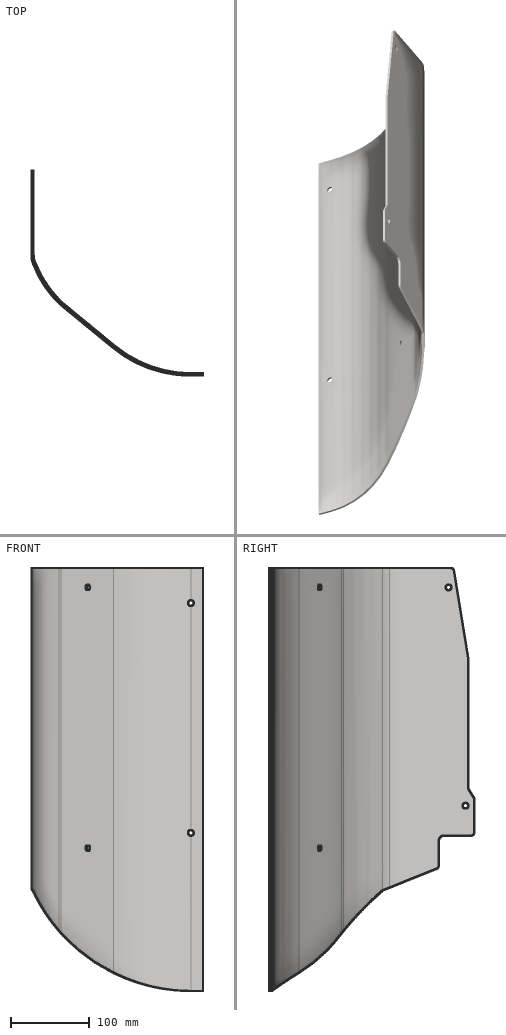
import cadquery as cq
import math

width = 218.0
depth = 260.5
height = 537.0
thickness = 3.0

front_flat = 15.5
front_curve_radius = 155.0
front_curve_angle = 39.4
crease_length = 4.0
crease_angle = 5.0
side_curve_radius = 140.0
side_bend_angle = 20.6
side_bend_radius = 28.5
side_curve_angle = 90 - front_curve_angle - crease_angle - side_bend_angle
bends = (
    (front_curve_radius, front_curve_angle),
    (crease_length / math.radians(crease_angle), crease_angle),
    (side_curve_radius, side_curve_angle),
    (side_bend_radius, side_bend_angle),
)


def bend_widths():
    """Width along X that each bend takes up."""
    widths = []
    heading = 0.0
    for radius, turn in bends:
        end_heading = heading + turn
        widths.append(radius * (math.sin(math.radians(end_heading)) - math.sin(math.radians(heading))))
        heading = end_heading
    return widths


slanted_flat = (width - front_flat - sum(bend_widths())) / math.cos(math.radians(front_curve_angle))

lower_edge_radius = 222.0
lower_edge_center_x = width - front_flat

top_corner_y = 234.0
wall_edge_y = 253.0
taper_bottom_z = 421.5
tab_slope_top_z = 257.0
tab_top_z = 244.5
tab_bottom_z = 197.0
notch_y = 215.5
notch_bottom_z = 156.5
outer_corner_radius = 4.5
notch_radius = 6.5

hole_diameter = 7.0
front_hole_heights = (201.0, 492.5)
slanted_hole_x = 71.5
slanted_hole_heights = (181.5, 512.5)
side_holes = ((249.0, 235.5), (228.0, 512.5))

clearance = 27.0
lower_edge_overshoot = 1.5
lower_edge_samples = 9


def step(point, heading, distance):
    """Move from a point in a direction given in degrees from -X towards +Y."""
    angle = math.radians(heading)
    return (point[0] - distance * math.cos(angle), point[1] + distance * math.sin(angle))


def offset(point, heading, distance):
    """Move square to the sheet, positive towards its inner side."""
    return step(point, heading + 90, distance)


def arc_step(point, heading, radius, turn):
    """Move along an arc that starts tangent to the heading."""
    chord = 2 * radius * math.sin(math.radians(turn / 2))
    return step(point, heading + turn / 2, chord)


def bend_stations(start, heading, radius, turn, count):
    """Points with headings, evenly spaced along a bend, including both ends."""
    turns = [turn * i / (count - 1) for i in range(count)]
    return [(arc_step(start, heading, radius, part), heading + part) for part in turns]


def outer_bends(count):
    """Stations of the four bends; the slanted flat spans the gap after the first."""
    stations = []
    point = (lower_edge_center_x, 0.0)
    heading = 0.0
    for radius, turn in bends:
        bend = bend_stations(point, heading, radius, turn, count)
        stations.append(bend)
        point, heading = bend[-1]
        if len(stations) == 1:
            point = step(point, heading, slanted_flat)
    return stations


def sheet_section():
    """Closed section of the sheet: along the outer face and back along the inner one."""
    paths = []
    for distance in (0, thickness):
        paths.append([[offset(*station, distance) for station in bend] for bend in outer_bends(3)])
    outer, inner = paths
    front_curve, crease, side_curve, side_bend = outer
    section = (
        cq.Workplane("XY")
        .moveTo(width, 0)
        .lineTo(*front_curve[0])
        .threePointArc(*front_curve[1:])
        .lineTo(*crease[0])
        .threePointArc(*crease[1:])
        .threePointArc(*side_curve[1:])
        .threePointArc(*side_bend[1:])
        .lineTo(0, depth)
        .lineTo(thickness, depth)
    )
    front_curve, crease, side_curve, side_bend = [bend[::-1] for bend in inner]
    return (
        section.lineTo(*side_bend[0])
        .threePointArc(*side_bend[1:])
        .threePointArc(*side_curve[1:])
        .threePointArc(*crease[1:])
        .lineTo(*front_curve[0])
        .threePointArc(*front_curve[1:])
        .lineTo(width, thickness)
        .close()
    )


def lower_edge_height(x):
    run = lower_edge_center_x - x
    return lower_edge_radius - math.sqrt(lower_edge_radius**2 - run**2)


def side_outline(bend_start):
    """Full-width block with the side wall outline; it leaves the front region whole."""
    bend_x, bend_y = bend_start
    block = (
        cq.Workplane("YZ", origin=(-clearance, 0, 0))
        .polyline([
            (0, 0),
            (0, height),
            (top_corner_y, height),
            (wall_edge_y, taper_bottom_z),
            (wall_edge_y, tab_slope_top_z),
            (depth, tab_top_z),
            (depth, tab_bottom_z),
            (notch_y, tab_bottom_z),
            (notch_y, notch_bottom_z),
            (bend_y, lower_edge_height(bend_x)),
            (bend_y, 0),
        ])
        .close()
        .extrude(width + 2 * clearance)
    )

    def round_corner(body, y, z, radius):
        corner = cq.selectors.NearestToPointSelector((width / 2, y, z))
        return body.edges("|X").edges(corner).fillet(radius)

    for y, z in ((top_corner_y, height), (depth, tab_bottom_z), (notch_y, notch_bottom_z)):
        block = round_corner(block, y, z, outer_corner_radius)
    return round_corner(block, notch_y, tab_bottom_z, notch_radius)


def lower_edge_cutter():
    """Body below the round lower edge, whose top face stays square to the sheet."""
    front_curve, crease, side_curve, _ = outer_bends(lower_edge_samples)
    crease_start, heading = crease[0]
    flat_middle = step(crease_start, heading, -slanted_flat / 2)
    stations = front_curve + [(flat_middle, heading)] + crease[:1] + side_curve[1:]
    borders = []
    for distance in (-lower_edge_overshoot, thickness + lower_edge_overshoot):
        points = []
        for point, heading in stations:
            points.append(cq.Vector(*offset(point, heading, distance), lower_edge_height(point[0])))
        borders.append(cq.Edge.makeSpline(points))
    top_face = cq.Face.makeRuledSurface(*borders)
    return cq.Solid.extrudeLinear(top_face, cq.Vector(0, 0, -height / 2))


def hole_cutter(center, direction):
    """Round cutter through the sheet, centred on a point of its outer face."""
    start = cq.Vector(*center) - cq.Vector(*direction) * clearance
    return cq.Solid.makeCylinder(hole_diameter / 2, 2 * clearance, start, cq.Vector(*direction))


result = sheet_section().extrude(height + clearance).translate((0, 0, -clearance))
bend_start, _ = outer_bends(2)[-1][0]
result = result.cut(lower_edge_cutter())
result = result.intersect(side_outline(bend_start))

for z in front_hole_heights:
    result = result.cut(hole_cutter((lower_edge_center_x, 0, z), (0, 1, 0)))

slant = math.radians(front_curve_angle)
flat_start = arc_step((lower_edge_center_x, 0), 0, front_curve_radius, front_curve_angle)
slanted_hole_y = flat_start[1] + (flat_start[0] - slanted_hole_x) * math.tan(slant)
for z in slanted_hole_heights:
    center = (slanted_hole_x, slanted_hole_y, z)
    result = result.cut(hole_cutter(center, (math.sin(slant), math.cos(slant), 0)))

for y, z in side_holes:
    result = result.cut(hole_cutter((0, y, z), (1, 0, 0)))